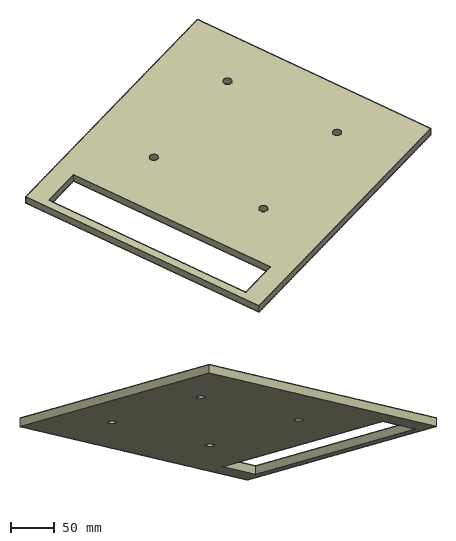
import cadquery as cq

plate_width = 320.0
plate_length = 350.0
plate_thickness = 10.0

hole_diameter = 10.0
hole_spacing = 150.0
pattern_to_back_edge = 140.0
pattern_center_y = plate_length / 2 - pattern_to_back_edge

window_width = 270.0
window_length = 50.0
front_rail = 10.0
window_center_y = -plate_length / 2 + front_rail + window_length / 2

plate = cq.Workplane("XY").box(plate_width, plate_length, plate_thickness)

drilled_plate = (
    plate.faces(">Z").workplane()
    .center(0, pattern_center_y)
    .rarray(hole_spacing, hole_spacing, 2, 2)
    .hole(hole_diameter)
)

window = (
    cq.Workplane("XY")
    .center(0, window_center_y)
    .box(window_width, window_length, plate_thickness)
)

result = drilled_plate.cut(window)